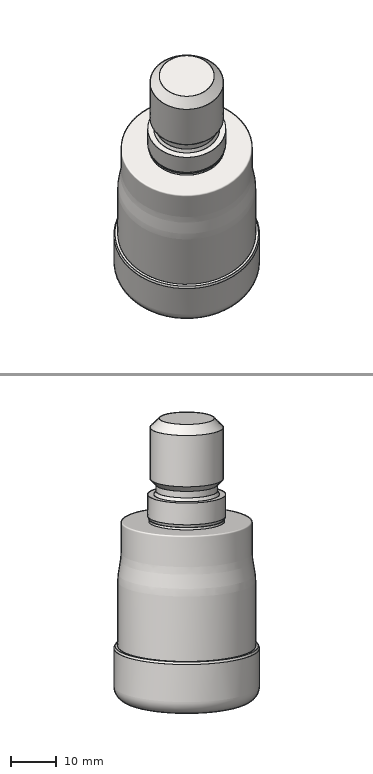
import cadquery as cq

total_height = 63.0
housing_height = 39.95

base_radius = 15.9
base_height = 12.1
base_bottom_fillet = 3.15
base_top_chamfer = 0.5
base_top_chamfer_width = 0.25
barrel_radius = 15.05
shoulder_radius = 14.3
shoulder_edge_fillet = 0.3
taper_bottom = 27.4
taper_top = 32.1
taper_blend_radius = 10.7

foot_radius = 8.25
waist_radius = 8.05
waist_height = 40.45
collar_radius = 8.5
collar_bottom = 41.15
collar_taper_radius = 8.25
collar_top = 46.0
neck_radius = 6.75
neck_flare_radius = 7.2
neck_bottom = 46.75
neck_top = 48.2
shank_radius = 8.0
shank_bottom = 49.5
shank_chamfer = 2.0


def revolve_profile(points):
    """Revolve a closed outline of (radius, height) points about Z."""
    return cq.Workplane("XZ").polyline(points).close().revolve(360, (0, 0), (0, 1))


def edges_at(height, radius):
    """Select the circular edge of the given radius at the given height."""
    reach = radius + 0.03
    slack = 0.03
    return cq.selectors.BoxSelector(
        (-reach, -reach, height - slack), (reach, reach, height + slack), boundingbox=True
    )


def make_housing():
    housing = revolve_profile([
        (0, 0),
        (base_radius, 0),
        (base_radius, base_height - base_top_chamfer),
        (base_radius - base_top_chamfer_width, base_height),
        (barrel_radius, base_height),
        (barrel_radius, taper_bottom),
        (shoulder_radius, taper_top),
        (shoulder_radius, housing_height),
        (0, housing_height),
    ])
    housing = housing.edges(edges_at(0, base_radius)).fillet(base_bottom_fillet)
    housing = housing.edges(edges_at(taper_bottom, barrel_radius)).fillet(taper_blend_radius)
    housing = housing.edges(edges_at(taper_top, shoulder_radius)).fillet(taper_blend_radius)
    return housing.edges(edges_at(housing_height, shoulder_radius)).fillet(shoulder_edge_fillet)


def make_stud():
    """Stud standing on the flat top of the housing."""
    return revolve_profile([
        (0, housing_height),
        (foot_radius, housing_height),
        (waist_radius, waist_height),
        (collar_taper_radius, waist_height),
        (collar_radius, collar_bottom),
        (collar_radius, collar_top),
        (neck_flare_radius, collar_top),
        (neck_radius, neck_bottom),
        (neck_radius, neck_top),
        (shank_radius, shank_bottom),
        (shank_radius, total_height - shank_chamfer),
        (shank_radius - shank_chamfer, total_height),
        (0, total_height),
    ])


housing = make_housing()
stud = make_stud()

result = cq.Compound.makeCompound([housing.val(), stud.val()])